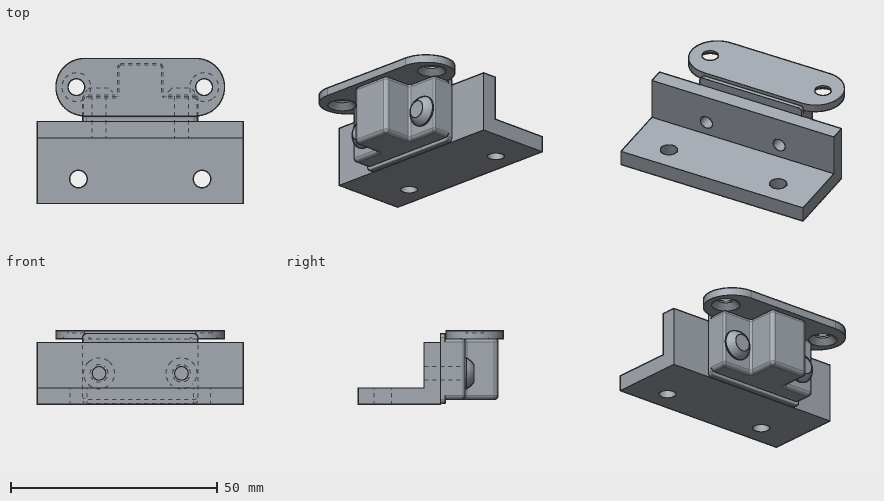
import cadquery as cq
import math


BRACKET_LENGTH = 50.0
BRACKET_HEIGHT = 15.0
BRACKET_DEPTH = 20.0
BRACKET_THICKNESS = 4.0
BASE_HOLE_DIAMETER = 4.2
BASE_HOLE_SPACING = 30.0
BASE_HOLE_EDGE_DISTANCE = 6.0

SCREW_SPACING = 20.0
SCREW_HEIGHT = BRACKET_HEIGHT / 2
SHANK_DIAMETER = 3.3
HEAD_DIAMETER = 7.5
HEAD_HEIGHT = 2.1
HEAD_RIM_HEIGHT = 0.35
HEAD_FLAT_DIAMETER = 4.3

BODY_WIDTH = 28.0
BODY_HEIGHT = 15.0
BODY_DEPTH = 14.0
BODY_MID_HEIGHT = 8.65
FLANGE_RIM = 1.0
FLANGE_HEIGHT = BODY_HEIGHT + 2 * FLANGE_RIM
FLANGE_THICKNESS = 1.2
FLANGE_EDGE_ROUNDING = 0.2
WING_DEPTH = 6.0
CENTRE_WIDTH = 11.0
BODY_ROUNDING = 1.0
STEP_ROUNDING = 0.5

PLATE_LENGTH = 41.0
PLATE_WIDTH = 14.0
PLATE_THICKNESS = 2.0
PLATE_UNDERSIDE = 15.85
PLATE_GAP = 1.3
PLATE_HOLE_DIAMETER = 4.0
PLATE_HOLE_SPACING = 31.0
PLATE_COUNTERSINK_DIAMETER = 7.0
PLATE_COUNTERSINK_ANGLE = 90.0


def block(width, height, start_y, end_y, middle_z):
    """Box centred on X = 0 and on middle_z, running from start_y to end_y."""
    return (
        cq.Workplane("XY")
        .box(width, end_y - start_y, height, centered=(True, False, True))
        .translate((0, start_y, middle_z))
    )


def cylinder_along_y(diameter, x, start_y, end_y):
    """Cylinder on a screw axis, running from start_y to end_y."""
    base = cq.Vector(x, start_y, SCREW_HEIGHT)
    return cq.Workplane(cq.Solid.makeCylinder(diameter / 2, end_y - start_y, base, cq.Vector(0, 1, 0)))


def pair_positions(spacing):
    """X positions of two features placed symmetrically about X = 0."""
    return (-spacing / 2, spacing / 2)


def make_bracket():
    """L-shaped bracket with two holes in each leg."""
    profile = [
        (0, 0),
        (-BRACKET_DEPTH, 0),
        (-BRACKET_DEPTH, BRACKET_THICKNESS),
        (-BRACKET_THICKNESS, BRACKET_THICKNESS),
        (-BRACKET_THICKNESS, BRACKET_HEIGHT),
        (0, BRACKET_HEIGHT),
    ]
    bracket = cq.Workplane("YZ").polyline(profile).close().extrude(BRACKET_LENGTH / 2, both=True)

    base_hole_y = -BRACKET_DEPTH + BASE_HOLE_EDGE_DISTANCE
    base_holes = (
        cq.Workplane("XY")
        .pushPoints([(x, base_hole_y) for x in pair_positions(BASE_HOLE_SPACING)])
        .circle(BASE_HOLE_DIAMETER / 2)
        .extrude(BRACKET_THICKNESS)
    )
    bracket = bracket.cut(base_holes)
    for x in pair_positions(SCREW_SPACING):
        bracket = bracket.cut(cylinder_along_y(SHANK_DIAMETER, x, -BRACKET_THICKNESS, 0))
    return bracket


def make_flange():
    """Mounting flange with rounded corners and a softened back rim."""
    flange = block(BODY_WIDTH, FLANGE_HEIGHT, 0, FLANGE_THICKNESS, BODY_MID_HEIGHT)
    flange = flange.edges("|Y").fillet(BODY_ROUNDING)
    return flange.faces(">Y").edges().fillet(FLANGE_EDGE_ROUNDING)


def make_stepped_block():
    """Wide wings and narrower centre block, rounded everywhere except at the bracket face."""
    wings = block(BODY_WIDTH, BODY_HEIGHT, 0, WING_DEPTH, BODY_MID_HEIGHT)
    centre = block(CENTRE_WIDTH, BODY_HEIGHT, 0, BODY_DEPTH, BODY_MID_HEIGHT)
    stepped = wings.union(centre)

    end_edges = stepped.faces(">Y").edges("|Z")
    stepped = end_edges.fillet(BODY_ROUNDING)
    step_middle = cq.selectors.BoxSelector(
        (-BODY_WIDTH, WING_DEPTH - STEP_ROUNDING, 0),
        (BODY_WIDTH, WING_DEPTH + STEP_ROUNDING, FLANGE_HEIGHT),
    )
    stepped = stepped.edges("|Z").edges(step_middle).fillet(STEP_ROUNDING)
    return stepped.faces("<Z or >Z").edges("not <Y").fillet(BODY_ROUNDING)


def make_catch_body():
    """Catch body with screw holes and a flat top seat for the strike plate."""
    body = make_flange().union(make_stepped_block())
    seat = block(BODY_WIDTH, FLANGE_HEIGHT, FLANGE_THICKNESS, BODY_DEPTH, PLATE_UNDERSIDE + FLANGE_HEIGHT / 2)
    body = body.cut(seat)
    for x in pair_positions(SCREW_SPACING):
        body = body.cut(cylinder_along_y(SHANK_DIAMETER, x, 0, WING_DEPTH))
    return body


def make_dome_sphere(x):
    """Sphere on a screw axis, passing through the head's rim edge and the edge of its end flat."""
    rim_radius = HEAD_DIAMETER / 2
    flat_radius = HEAD_FLAT_DIAMETER / 2
    rise = HEAD_HEIGHT - HEAD_RIM_HEIGHT
    centre_above_rim = (rise**2 + flat_radius**2 - rim_radius**2) / (2 * rise)
    sphere_radius = math.hypot(rim_radius, centre_above_rim)
    centre_y = WING_DEPTH + HEAD_RIM_HEIGHT + centre_above_rim
    return cq.Workplane("XY", origin=(x, centre_y, SCREW_HEIGHT)).sphere(sphere_radius)


def make_screw(x):
    """Screw with a flat-topped domed head on the wing and a shank through the catch body."""
    rim_end = WING_DEPTH + HEAD_RIM_HEIGHT
    rim = cylinder_along_y(HEAD_DIAMETER, x, WING_DEPTH, rim_end)
    dome = cylinder_along_y(HEAD_DIAMETER, x, rim_end, WING_DEPTH + HEAD_HEIGHT).intersect(make_dome_sphere(x))
    shank = cylinder_along_y(SHANK_DIAMETER, x, 0, WING_DEPTH)
    return rim.union(dome).union(shank)


def make_strike_plate():
    """Round-ended plate with a hole near each end, countersunk from below."""
    plate_middle_y = PLATE_GAP + PLATE_WIDTH / 2
    plate = (
        cq.Workplane("XY", origin=(0, plate_middle_y, PLATE_UNDERSIDE))
        .slot2D(PLATE_LENGTH, PLATE_WIDTH)
        .extrude(PLATE_THICKNESS)
    )
    return (
        plate.faces("<Z")
        .workplane(centerOption="CenterOfMass")
        .pushPoints([(x, 0) for x in pair_positions(PLATE_HOLE_SPACING)])
        .cskHole(PLATE_HOLE_DIAMETER, PLATE_COUNTERSINK_DIAMETER, PLATE_COUNTERSINK_ANGLE)
    )


bracket = make_bracket()
catch_body = make_catch_body()
strike_plate = make_strike_plate()
screws = [make_screw(x) for x in pair_positions(SCREW_SPACING)]

result = cq.Compound.makeCompound(
    [
        bracket.val(),
        catch_body.val(),
        strike_plate.val(),
        *[screw.val() for screw in screws],
    ]
)